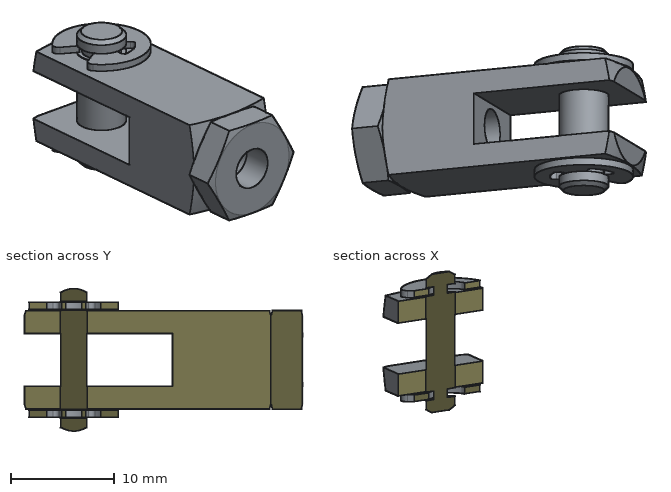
import cadquery as cq
import math

fork_length = 23.8
fork_width = 9.5
slot_depth = 14.3
slot_height = 5.05
fork_corner_setback = 0.65
bore_diameter = 4.03

overall_length = 26.85
nut_length = overall_length - fork_length
nut_across_flats = 9.54
nut_across_corners = nut_across_flats / math.cos(math.pi / 6)
nut_face_diameter = 9.4
nut_corner_setback = 0.2

pin_diameter = 4.78
pin_length = 13.85
pin_chamfer = 0.4

clip_diameter = 9.54
pin_x = clip_diameter / 2
clip_bore_diameter = 4.3
clip_thickness = 0.7
clip_gap = 0.1
groove_diameter = 3.81
groove_clearance = 0.05
clip_mid_z = fork_width / 2 + clip_gap + clip_thickness / 2
mouth_start_angle = 240
window_start_angles = (0, 120)
opening_sweep = 60
mouth_corner_radius = 0.62
window_radius = 3.28
window_corner_radius = 0.4


def end_cone(face_x, inward, face_radius, corner_radius, corner_setback, length):
    """Solid of revolution about X whose cone trims the corners of a bar at one end."""
    profile = [
        (face_x, 0),
        (face_x, face_radius),
        (face_x + inward * corner_setback, corner_radius),
        (face_x + inward * length, corner_radius),
        (face_x + inward * length, 0),
    ]
    return cq.Workplane("XY").polyline(profile).close().revolve(360, (0, 0, 0), (1, 0, 0))


def chamfer_ends(bar, start_x, length, face_radius, corner_radius, corner_setback):
    """Turn a conical chamfer on both ends of a bar that lies along X."""
    end_x = start_x + length
    bar = bar.intersect(end_cone(start_x, 1, face_radius, corner_radius, corner_setback, length))
    return bar.intersect(end_cone(end_x, -1, face_radius, corner_radius, corner_setback, length))


def axial_bore(start_x, length):
    return cq.Workplane("YZ", origin=(start_x, 0, 0)).circle(bore_diameter / 2).extrude(length)


def make_fork():
    bar = cq.Workplane("XY").box(fork_length, fork_width, fork_width, centered=(False, True, True))
    corner_radius = fork_width / math.sqrt(2)
    bar = chamfer_ends(bar, 0, fork_length, fork_width / 2, corner_radius, fork_corner_setback)
    slot = cq.Workplane("XY").box(slot_depth, fork_width, slot_height, centered=(False, True, True))
    pin_hole = cq.Workplane("XY").center(pin_x, 0).circle(pin_diameter / 2)
    pin_hole = pin_hole.extrude(fork_width / 2, both=True)
    return bar.cut(slot).cut(pin_hole).cut(axial_bore(slot_depth, fork_length - slot_depth))


def make_nut():
    blank = (
        cq.Workplane("YZ", origin=(fork_length, 0, 0))
        .polygon(6, nut_across_corners)
        .extrude(nut_length)
    )
    corner_radius = nut_across_corners / 2
    nut = chamfer_ends(
        blank, fork_length, nut_length, nut_face_diameter / 2, corner_radius, nut_corner_setback
    )
    return nut.cut(axial_bore(fork_length, nut_length))


def make_pin():
    pin = (
        cq.Workplane("XY", origin=(pin_x, 0, -pin_length / 2))
        .circle(pin_diameter / 2)
        .extrude(pin_length)
        .faces("<Z or >Z")
        .chamfer(pin_chamfer)
    )
    groove_width = clip_thickness + 2 * groove_clearance
    for side in (1, -1):
        groove = (
            cq.Workplane("XY", origin=(pin_x, 0, side * clip_mid_z - groove_width / 2))
            .circle(pin_diameter / 2)
            .circle(groove_diameter / 2)
            .extrude(groove_width)
        )
        pin = pin.cut(groove)
    return pin


def sector(radius, start_angle):
    """Pie slice about the Z axis, as thick as a clip."""

    def rim_point(angle):
        return (radius * math.cos(math.radians(angle)), radius * math.sin(math.radians(angle)))

    return (
        cq.Workplane("XY")
        .lineTo(*rim_point(start_angle))
        .threePointArc(rim_point(start_angle + opening_sweep / 2), rim_point(start_angle + opening_sweep))
        .close()
        .extrude(clip_thickness)
    )


def make_clip(mid_z):
    disc = cq.Workplane("XY").circle(clip_diameter / 2).extrude(clip_thickness)
    mouth = sector(clip_diameter / 2, mouth_start_angle)
    seat = cq.Workplane("XY").circle(clip_bore_diameter / 2).extrude(clip_thickness)
    clip = disc.cut(mouth).edges("|Z").edges("<Y").fillet(mouth_corner_radius).cut(seat)
    for start_angle in window_start_angles:
        window = sector(window_radius, start_angle)
        clip = clip.cut(window.faces("%CYLINDER").edges("|Z").fillet(window_corner_radius))
    return clip.translate((pin_x, 0, mid_z - clip_thickness / 2))


fork = make_fork()
nut = make_nut()
pin = make_pin()
clips = [make_clip(side * clip_mid_z) for side in (1, -1)]

result = cq.Compound.makeCompound(
    [fork.val(), nut.val(), pin.val(), *[clip.val() for clip in clips]]
)